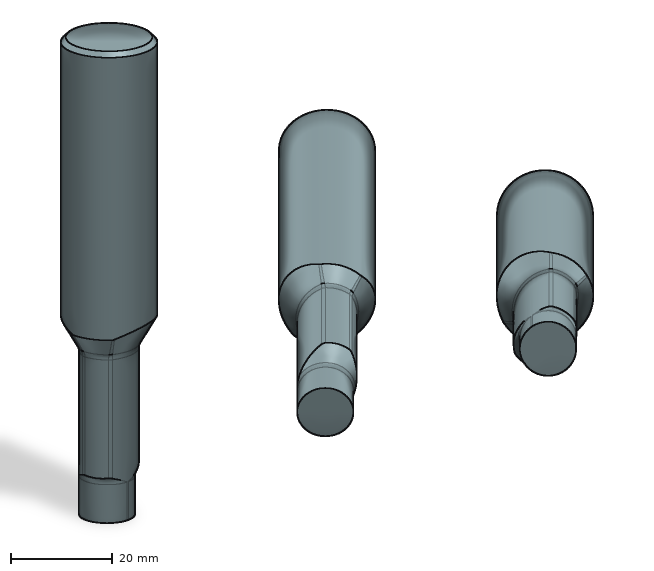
import cadquery as cq
import math

total_length = 99.4
shank_radius = 9.5
top_chamfer = 1.0

flare_angle = math.radians(30)
blend_radius = 2.4

neck_corner_z = 35.0
neck_half_depth = 7.1
neck_half_width = 5.8
neck_side_radius = 8.6
neck_edge_fillet = 2.0

tip_corner_z = 8.7
tip_radius = 5.6
tip_y = -1.1


def flared_column(radius, corner_z, x=0.0, y=0.0):
    """Upright column that widens into a cone above corner_z with a tangent blend."""
    tangent = blend_radius * math.tan(flare_angle / 2)
    half_angle = flare_angle / 2
    blend_centre_r = radius + blend_radius
    blend_start_z = corner_z - tangent
    blend_middle = (
        blend_centre_r - blend_radius * math.cos(half_angle),
        blend_start_z + blend_radius * math.sin(half_angle),
    )
    blend_end = (
        radius + tangent * math.sin(flare_angle),
        corner_z + tangent * math.cos(flare_angle),
    )
    cone_top_radius = radius + (total_length - corner_z) * math.tan(flare_angle)
    return (
        cq.Workplane("XZ")
        .lineTo(radius, 0)
        .lineTo(radius, blend_start_z)
        .threePointArc(blend_middle, blend_end)
        .lineTo(cone_top_radius, total_length)
        .lineTo(0, total_length)
        .close()
        .revolve(360, (0, 0, 0), (0, 1, 0))
        .translate((x, y, 0))
    )


def make_neck():
    """Oblong neck and its flare, with rounded upright edges."""
    side_offset = neck_side_radius - neck_half_width
    neck = flared_column(neck_half_depth, neck_corner_z)
    for side in (-1, 1):
        neck = neck.intersect(flared_column(neck_side_radius, neck_corner_z, x=side * side_offset))

    corner_x = (neck_side_radius**2 - neck_half_depth**2 - side_offset**2) / (2 * side_offset)
    corner_y = math.sqrt(neck_half_depth**2 - corner_x**2)
    for x in (-corner_x, corner_x):
        for y in (-corner_y, corner_y):
            corner = cq.selectors.NearestToPointSelector((x, y, neck_corner_z / 2))
            neck = neck.edges(corner).fillet(neck_edge_fillet)
    return neck


shank = cq.Workplane("XY").circle(shank_radius).extrude(total_length)
shank = shank.faces(">Z").chamfer(top_chamfer)

tip = flared_column(tip_radius, tip_corner_z, y=tip_y)

result = shank.intersect(make_neck()).intersect(tip)